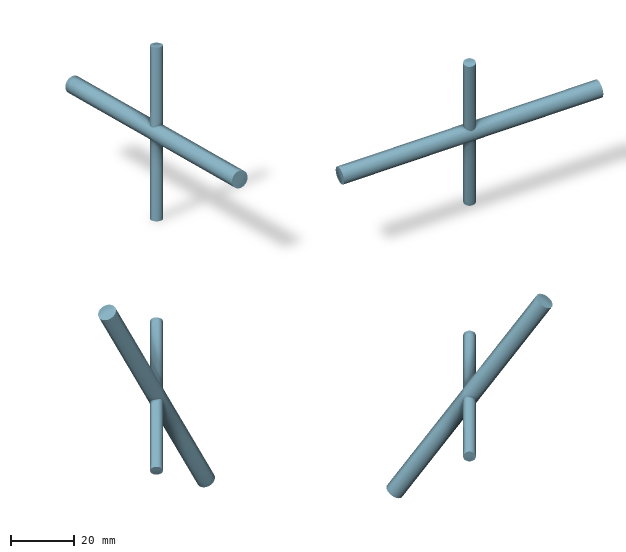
import cadquery as cq

main_length = 91.5
main_diameter = 6.0
cross_length = 60.0
cross_diameter = 4.0

main_rod = cq.Workplane("YZ").circle(main_diameter / 2).extrude(main_length / 2, both=True)

cross_rod = cq.Workplane("XY").circle(cross_diameter / 2).extrude(cross_length / 2, both=True)

result = main_rod.union(cross_rod)